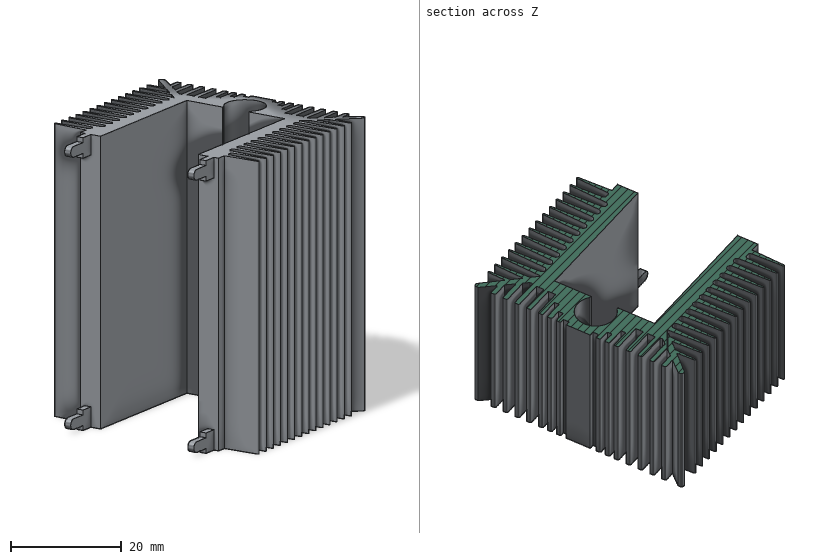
import cadquery as cq
import math

length = 55.0
overlap = 0.3

leg_end = 36.95
leg_inner = 10.6
leg_outer = 15.0
ceiling = 8.95

bore_radius = 3.85
bore_deep = 5.95
mouth_half = 2.85

back_pad_half = 2.6
back_fin_thick = 1.05
back_fin_rounding = 0.35
back_fin_first = 4.25
back_fin_close_pitch = 1.9
back_fin_pitch = 2.55
back_fins = [back_fin_first + i * back_fin_close_pitch for i in range(3)]
back_fins += [back_fins[-1] + i * back_fin_pitch for i in range(1, 5)]
pad_slot_floor = 0.95
back_slot_floors = [2.3, 3.95, 5.9]
corner_slot_floor = 6.1
corner_floor_end = 14.2
back_fin_roots = back_slot_floors + [back_slot_floors[-1], corner_slot_floor, 4.95, 3.3]

side_fin_count = 14
side_fin_first = 4.6
side_fin_last = 34.55
side_fin_pitch = (side_fin_last - side_fin_first) / (side_fin_count - 1)
side_fin_tip = 22.15
side_fin_tip_thick = 0.45
side_fins = [side_fin_first + i * side_fin_pitch for i in range(side_fin_count)]
side_slot_floor = 13.65
side_slot_radius = 0.6
last_slot_rounding = 0.4
slot_centre = side_slot_floor + side_slot_radius
flank_run = side_fin_tip - side_fin_tip_thick / 2 - slot_centre
slot_mouth_half = (side_fin_pitch - side_fin_tip_thick) / 2
flank_angle = math.acos(side_slot_radius / math.hypot(flank_run, slot_mouth_half)) - math.atan2(
    flank_run, slot_mouth_half
)
side_fin_root = slot_centre - side_slot_radius * math.sin(flank_angle)
first_round_slot = 2
corner_fin_roots = [17.05, 14.85]

half_width = 22.3
diagonal_tip_start = 21.35
diagonal_tip_radius = 0.55
diagonal_outer_angle = math.radians(42)
diagonal_root_across = 13.2
diagonal_root_near = 6.95

web_near = 4.25
web_far = 5.1
web_height = 3.85

pin_across = 13.35
pin_thick = 1.3
pin_base_length = 2.6
pin_base_height = 3.85
pin_length = 6.55
pin_neck_height = 2.05


def prism(points, height=length):
    """Extrude a left-half outline upward from Z = 0."""
    outline = [(-across, -deep) for across, deep in points]
    return cq.Workplane("XY").polyline(outline).close().extrude(height)


def block(across_from, across_to, deep_from, deep_to, height=length):
    return prism(
        [
            (across_from, deep_from),
            (across_to, deep_from),
            (across_to, deep_to),
            (across_from, deep_to),
        ],
        height,
    )


def body():
    """Stepped back web and leg, thick enough to hold the rounded slot ends."""
    steps = [(0, 0), (back_pad_half, 0), (back_pad_half, pad_slot_floor)]
    floor = pad_slot_floor
    for across, next_floor in zip(back_fins, back_slot_floors):
        steps += [(across, floor), (across, next_floor)]
        floor = next_floor
    corner = back_fins[4]
    last_wall = leg_outer + last_slot_rounding
    first_round_fin = side_fins[first_round_slot]
    steps += [
        (corner, floor),
        (corner, corner_slot_floor),
        (corner_floor_end, corner_slot_floor),
        (side_slot_floor, diagonal_root_near),
        (side_slot_floor, first_round_fin),
        (side_fin_root, first_round_fin),
        (side_fin_root, side_fins[-2]),
        (last_wall, side_fins[-2]),
        (last_wall, side_fins[-1]),
        (leg_outer, side_fins[-1]),
        (leg_outer, leg_end),
        (leg_inner, leg_end),
        (leg_inner, ceiling),
        (0, ceiling),
    ]
    return prism(steps)


def back_fin(across, root):
    half = back_fin_thick / 2
    fin = block(across - half, across + half, 0, root + overlap)
    return fin.edges("|Z and >Y").fillet(back_fin_rounding)


def slot_half_width(across):
    """Half the gap between the straight flanks of two neighbouring side fins."""
    rise = (across - slot_centre) * math.sin(flank_angle)
    return (side_slot_radius + rise) / math.cos(flank_angle)


def side_fin(deep, root):
    """Tapered fin with a round tip; a short fin keeps the taper of a full one."""
    tip_half = side_fin_tip_thick / 2
    tip_start = side_fin_tip - tip_half
    root_half = side_fin_pitch / 2 - slot_half_width(root)
    return (
        cq.Workplane("XY")
        .moveTo(-root, root_half - deep)
        .lineTo(-tip_start, tip_half - deep)
        .threePointArc((-side_fin_tip, -deep), (-tip_start, -tip_half - deep))
        .lineTo(-root, -root_half - deep)
        .close()
        .extrude(length)
    )


def diagonal_fin():
    """Corner fin whose round tip touches both the back plane and the widest point."""
    tip_centre = half_width - diagonal_tip_radius
    flank_across = tip_centre + diagonal_tip_radius * math.sin(diagonal_outer_angle)
    flank_deep = diagonal_tip_radius * (1 + math.cos(diagonal_outer_angle))
    root_run = flank_across - diagonal_root_across
    root_far = flank_deep + root_run * math.tan(diagonal_outer_angle)
    return (
        cq.Workplane("XY")
        .moveTo(-diagonal_root_across, -diagonal_root_near)
        .lineTo(-diagonal_tip_start, 0)
        .lineTo(-tip_centre, 0)
        .threePointArc((-half_width, -diagonal_tip_radius), (-flank_across, -flank_deep))
        .lineTo(-diagonal_root_across, -root_far)
        .close()
        .extrude(length)
    )


def round_slot_end(deep):
    """Cutter for the full-round inner end of a slot centred at this depth."""
    return cq.Workplane("XY").center(-slot_centre, -deep).circle(side_slot_radius).extrude(length)


def last_slot_end():
    """Cutter for the flat-bottomed slot between the last two side fins."""
    deep = side_fins[-1] - side_fin_pitch / 2
    outer = leg_outer + 3 * last_slot_rounding
    floor_half = slot_half_width(leg_outer)
    outer_half = slot_half_width(outer)
    cutter = prism(
        [
            (leg_outer, deep - floor_half),
            (outer, deep - outer_half),
            (outer, deep + outer_half),
            (leg_outer, deep + floor_half),
        ]
    )
    return cutter.edges("|Z and >X").fillet(last_slot_rounding)


def pin():
    """Stepped pin with a round tip, level with the Z = 0 end."""
    near = pin_across - pin_thick / 2
    far = pin_across + pin_thick / 2
    tip_radius = pin_neck_height / 2
    tip_centre = leg_end + pin_length - tip_radius
    base_end = leg_end + pin_base_length
    base = block(near, far, leg_end - overlap, base_end, pin_base_height)
    neck = block(near, far, leg_end, tip_centre, pin_neck_height)
    neck = neck.translate((0, 0, (pin_base_height - pin_neck_height) / 2))
    tip = (
        cq.Workplane("YZ", origin=(-far, 0, 0))
        .center(-tip_centre, pin_base_height / 2)
        .circle(tip_radius)
        .extrude(pin_thick)
    )
    return base.union(neck).union(tip)


def keyhole():
    bore = cq.Workplane("XY").center(0, -bore_deep).circle(bore_radius).extrude(length)
    mouth_start = bore_deep + math.sqrt(bore_radius**2 - mouth_half**2)
    mouth = block(-mouth_half, mouth_half, mouth_start, ceiling + overlap)
    return bore.union(mouth)


half_sink = body()
for slot in range(first_round_slot, side_fin_count - 2):
    middle = side_fins[slot] + side_fin_pitch / 2
    half_sink = half_sink.cut(round_slot_end(middle))
half_sink = half_sink.cut(last_slot_end())
half_sink = half_sink.union(diagonal_fin())
for across, root in zip(back_fins, back_fin_roots):
    half_sink = half_sink.union(back_fin(across, root))
side_fin_roots = corner_fin_roots + [side_slot_floor] * (side_fin_count - len(corner_fin_roots))
for deep, root in zip(side_fins, side_fin_roots):
    half_sink = half_sink.union(side_fin(deep, root))
half_sink = half_sink.union(block(back_fins[4], back_fins[5], web_near, web_far, web_height))
lower_pin = pin()
upper_pin = lower_pin.translate((0, 0, length - pin_base_height))
half_sink = half_sink.union(lower_pin).union(upper_pin)

result = half_sink.union(half_sink.mirror("YZ")).cut(keyhole())